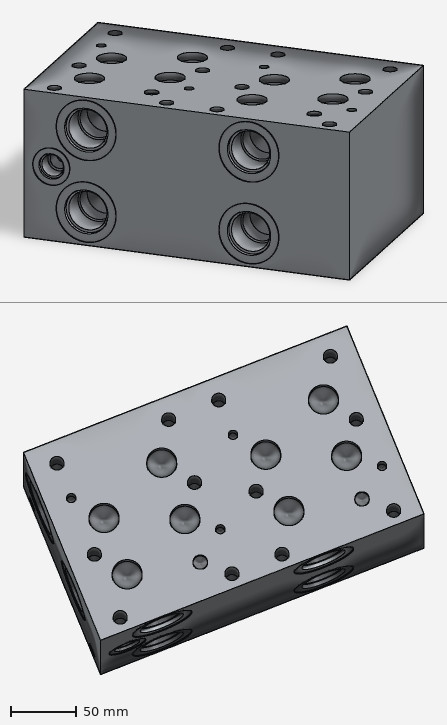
import cadquery as cq
import math


LENGTH = 266.7
WIDTH = 158.75
HEIGHT = 120.65

DRILL_POINT_ANGLE = 118.0

STATION_PITCH = LENGTH / 2
STATION_COUNT = 2
STATION_X = 20.64
STATION_SPAN_X = 92.1
STATION_SPAN_Y = 130.2
STATION_OFFSET_Y = -3.2
STATION_Y = (WIDTH - STATION_SPAN_Y) / 2 + STATION_OFFSET_Y

MID_BOLT_LEFT_Y = 53.2
MID_BOLT_RIGHT_Y = 77.0
BOLT_POINTS = [
    (0, 0),
    (STATION_SPAN_X, 0),
    (0, MID_BOLT_LEFT_Y),
    (STATION_SPAN_X, MID_BOLT_RIGHT_Y),
    (0, STATION_SPAN_Y),
    (STATION_SPAN_X, STATION_SPAN_Y),
]
FLOW_POINTS = [(17.5, 29.4), (17.5, 77.0), (74.6, 53.2), (74.6, 100.8)]
PILOT_POINTS = [(73.0, 17.5)]
PIN_POINTS = [(0, 100.8), (96.8, 35.7)]

BOLT_DIAMETER = 10.72
BOLT_DEPTH = 27.0
FLOW_DIAMETER = 23.01
FLOW_DEPTH = 6.35
PILOT_DIAMETER = 11.11
PILOT_DEPTH = 3.0
PIN_DIAMETER = 7.14
PIN_DEPTH = 10.0

STATION_HOLES = [
    (BOLT_POINTS, BOLT_DIAMETER, BOLT_DEPTH),
    (FLOW_POINTS, FLOW_DIAMETER, FLOW_DEPTH),
    (PILOT_POINTS, PILOT_DIAMETER, PILOT_DEPTH),
    (PIN_POINTS, PIN_DIAMETER, PIN_DEPTH),
]

SPOT_FACE_DEPTH = 0.8
SAE_16 = dict(spot=48.97, seal=35.51, thread=31.27, seal_depth=4.0, thread_depth=24.0, depth=40.0)
FRONT_PORT = dict(SAE_16, drill=28.57)
SIDE_MEDIUM_PORT = dict(SAE_16, drill=26.98)
SIDE_LARGE_PORT = dict(
    spot=57.96, seal=43.51, thread=39.22, drill=35.71, seal_depth=4.0, thread_depth=24.0, depth=40.0
)
SMALL_PORT = dict(
    spot=30.2, seal=20.6, thread=17.5, drill=14.3, seal_depth=3.3, thread_depth=16.0, depth=30.0
)

FRONT_PORT_X = 50.8
FRONT_PORT_SPACING = 66.68
SMALL_PORT_X = 22.225
MID_HEIGHT = HEIGHT / 2
FRONT_PORT_HEIGHTS = (MID_HEIGHT - FRONT_PORT_SPACING / 2, MID_HEIGHT + FRONT_PORT_SPACING / 2)

LARGE_PORT_Y = 125.8
MEDIUM_PORT_Y = 56.5
SIDE_HOLE_DIAMETER = 10.72
SIDE_HOLE_DEPTH = 25.0
SIDE_HOLE_INSET_Y = 17.5
SIDE_HOLE_HEIGHT = 12.7

DOWN = (0, 0, -1)
INTO_FRONT = (0, 1, 0)
INTO_SIDE = (1, 0, 0)


def cylinder(point, direction, diameter, depth):
    return cq.Solid.makeCylinder(diameter / 2, depth, cq.Vector(*point), cq.Vector(*direction))


def drilled_hole(point, direction, diameter, depth):
    """Blind hole whose full diameter reaches `depth`, ending in a drill point."""
    radius = diameter / 2
    point_length = radius / math.tan(math.radians(DRILL_POINT_ANGLE / 2))
    axis = cq.Vector(*direction)
    bottom = cq.Vector(*point) + axis * depth
    tip = cq.Solid.makeCone(radius, 0, point_length, bottom, axis)
    return cylinder(point, direction, diameter, depth).fuse(tip)


def threaded_port(point, direction, port):
    """Stepped port whose thread bore tapers into the deeper drill with its own drill point."""
    steps = [
        cylinder(point, direction, port["spot"], SPOT_FACE_DEPTH),
        cylinder(point, direction, port["seal"], port["seal_depth"]),
        drilled_hole(point, direction, port["thread"], port["thread_depth"]),
    ]
    return drilled_hole(point, direction, port["drill"], port["depth"]).fuse(*steps)


def station_cutters(station_x):
    cutters = []
    for points, diameter, depth in STATION_HOLES:
        for x, y in points:
            mouth = (station_x + x, STATION_Y + y, HEIGHT)
            cutters.append(drilled_hole(mouth, DOWN, diameter, depth))
    return cutters


def front_cutters():
    cutters = [threaded_port((SMALL_PORT_X, 0, MID_HEIGHT), INTO_FRONT, SMALL_PORT)]
    for station in range(STATION_COUNT):
        x = FRONT_PORT_X + station * STATION_PITCH
        for z in FRONT_PORT_HEIGHTS:
            cutters.append(threaded_port((x, 0, z), INTO_FRONT, FRONT_PORT))
    return cutters


def side_cutters():
    cutters = [
        threaded_port((0, LARGE_PORT_Y, MID_HEIGHT), INTO_SIDE, SIDE_LARGE_PORT),
        threaded_port((0, MEDIUM_PORT_Y, MID_HEIGHT), INTO_SIDE, SIDE_MEDIUM_PORT),
    ]
    for y in (SIDE_HOLE_INSET_Y, WIDTH - SIDE_HOLE_INSET_Y):
        mouth = (0, y, SIDE_HOLE_HEIGHT)
        cutters.append(drilled_hole(mouth, INTO_SIDE, SIDE_HOLE_DIAMETER, SIDE_HOLE_DEPTH))
    return cutters


cutters = front_cutters() + side_cutters()
for station in range(STATION_COUNT):
    cutters += station_cutters(STATION_X + station * STATION_PITCH)

block = cq.Workplane("XY").box(LENGTH, WIDTH, HEIGHT, centered=False)
result = cq.Workplane("XY").newObject([block.val().cut(*cutters)])